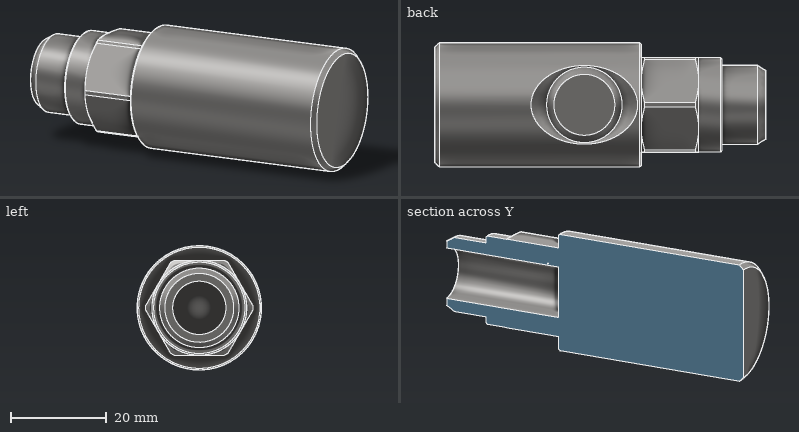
import cadquery as cq

length = 69.2
body_diameter = 26.0
body_start = 26.0
body_front_chamfer = 0.35
body_rear_chamfer = 1.0

nose_diameter = 16.6
nose_tip_diameter = 14.4
nose_taper_length = 1.8
bore_diameter = 11.15

collar_start = 9.1
collar_diameter = 19.8
collar_chamfer = 0.35

hex_start = 14.05
hex_across_flats = 19.85
hex_turn_angle = 30.0
hex_corner_diameter = 22.4
hex_chamfer_length = 0.7

pocket_x = 37.9
boss_top_y = 11.35
boss_top_radius = 6.4
groove_bottom_y = 9.75
groove_bottom_radius = 7.9

body_radius = body_diameter / 2


def make_turned_profile():
    """Nose, collar and body as one turned solid; the collar's core runs on to the body's front face."""
    nose_radius = nose_diameter / 2
    collar_radius = collar_diameter / 2
    half_profile = [
        (0, 0),
        (0, nose_tip_diameter / 2),
        (nose_taper_length, nose_radius),
        (collar_start, nose_radius),
        (collar_start, collar_radius - collar_chamfer),
        (collar_start + collar_chamfer, collar_radius),
        (body_start, collar_radius),
        (body_start, body_radius - body_front_chamfer),
        (body_start + body_front_chamfer, body_radius),
        (length - body_rear_chamfer, body_radius),
        (length, body_radius - body_rear_chamfer),
        (length, 0),
    ]
    return cq.Workplane("XY").polyline(half_profile).close().revolve(360, (0, 0, 0), (1, 0, 0))


def make_hex():
    """Hexagon with flats facing +Z and -Z, its corners turned down and chamfered at both ends."""
    prism = (
        cq.Workplane("YZ", origin=(hex_start, 0, 0))
        .polygon(6, hex_across_flats, circumscribed=True)
        .extrude(body_start - hex_start)
        .rotate((0, 0, 0), (1, 0, 0), hex_turn_angle)
    )
    corner_radius = hex_corner_diameter / 2
    face_radius = hex_across_flats / 2
    half_profile = [
        (hex_start, 0),
        (hex_start, face_radius),
        (hex_start + hex_chamfer_length, corner_radius),
        (body_start - hex_chamfer_length, corner_radius),
        (body_start, face_radius),
        (body_start, 0),
    ]
    envelope = cq.Workplane("XY").polyline(half_profile).close().revolve(360, (0, 0, 0), (1, 0, 0))
    return prism.intersect(envelope)


def make_pocket():
    """Material removed around the boss: a 45 degree cone opening towards +Y."""
    rim_radius = groove_bottom_radius + body_radius - groove_bottom_y
    half_profile = [
        (0, boss_top_y),
        (boss_top_radius, boss_top_y),
        (groove_bottom_radius, groove_bottom_y),
        (rim_radius, body_radius),
        (0, body_radius),
    ]
    return (
        cq.Workplane("XY", origin=(pocket_x, 0, 0))
        .polyline(half_profile)
        .close()
        .revolve(360, (0, 0, 0), (0, 1, 0))
    )


bore = cq.Workplane("YZ").circle(bore_diameter / 2).extrude(body_start)

result = make_turned_profile().union(make_hex()).cut(bore).cut(make_pocket())